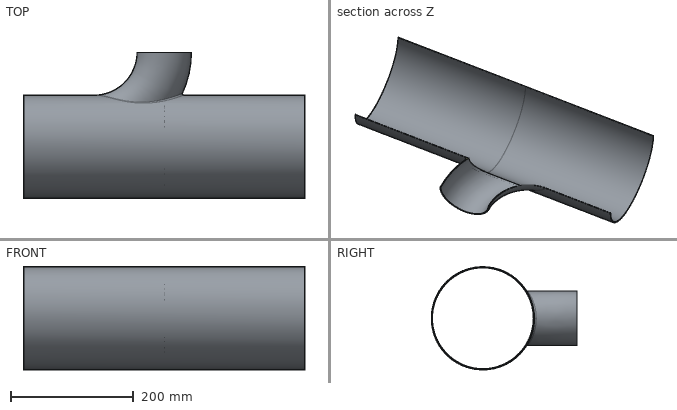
import cadquery as cq

main_length = 458.0
main_diameter = 168.3
wall = 2.0

branch_diameter = 88.9
bend_radius = 114.1
elbow_angle = 90
branch_end_y = 153.7
weld_fillet = 2.0

main_radius = main_diameter / 2
main_bore_radius = main_radius - wall
branch_radius = branch_diameter / 2
branch_bore_radius = branch_radius - wall


def main_cylinder(radius):
    """Solid cylinder on the X axis, as long as the main pipe."""
    return cq.Workplane("YZ").circle(radius).extrude(main_length / 2, both=True)


def elbow(radius):
    """Solid quarter bend from the branch end round towards -X, about an axis parallel to Z."""
    end_plane = cq.Plane(origin=(0, branch_end_y, 0), xDir=(1, 0, 0), normal=(0, -1, 0))
    bend_axis_start = (-bend_radius, 0, 0)
    bend_axis_end = (-bend_radius, -1, 0)
    return cq.Workplane(end_plane).circle(radius).revolve(elbow_angle, bend_axis_start, bend_axis_end)


def filleted_outside():
    """Pipe and branch as one solid body, with a small fillet all round the joint."""
    body = main_cylinder(main_radius).union(elbow(branch_radius))
    joint = [edge for edge in body.edges().vals() if edge.geomType() == "BSPLINE"]
    return body.newObject(joint).fillet(weld_fillet)


result = filleted_outside().cut(elbow(branch_bore_radius)).cut(main_cylinder(main_bore_radius))